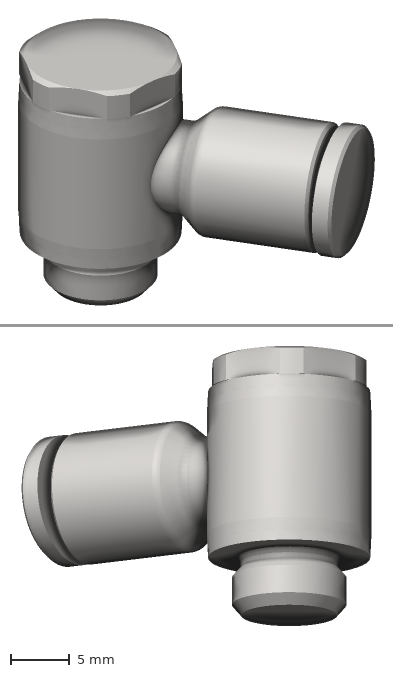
import cadquery as cq
import math

TOTAL_HEIGHT = 22.0
BODY_BOTTOM = 5.05
BODY_TOP = 19.5

BODY_RADIUS = 14.0 / 2
BODY_END_RADIUS = 6.9
END_BAND_HEIGHT = 1.95

HEAD_SIDES = 6
HEAD_ACROSS_FLATS = 13.0
HEAD_CHAMFER_ANGLE = 30

STUB_RADIUS = 4.85
STUB_TIP_RADIUS = 4.05
STUB_TIP_CHAMFER_HEIGHT = 0.9
STUB_SHOULDER_Z = 3.3
GROOVE_RADIUS = 4.15
GROOVE_BOTTOM = 4.1
GROOVE_TOP = 4.56
GROOVE_FLARE_RADIUS = 4.33

OUTLET_Z = 12.3
COLLAR_RADIUS = 4.03
COLLAR_END = 7.6
SOCKET_RADIUS = 5.62
SOCKET_END = 20.1
SOCKET_CHAMFER = 0.27
SHOULDER_ANGLE = 40
SHOULDER_BLEND_RADIUS = 1.0
NECK_RADIUS = 3.8

TOTAL_LENGTH = 29.45
RING_START = 20.8
RING_END = TOTAL_LENGTH - BODY_RADIUS
RING_WIDTH = 13.0
RING_HEIGHT = 11.05
RING_CHAMFER = 0.27


def make_column():
    """Threaded stub and body, turned about the vertical axis."""
    profile = [
        (0, 0),
        (STUB_TIP_RADIUS, 0),
        (STUB_RADIUS, STUB_TIP_CHAMFER_HEIGHT),
        (STUB_RADIUS, STUB_SHOULDER_Z),
        (GROOVE_RADIUS, GROOVE_BOTTOM),
        (GROOVE_RADIUS, GROOVE_TOP),
        (GROOVE_FLARE_RADIUS, BODY_BOTTOM),
        (BODY_END_RADIUS, BODY_BOTTOM),
        (BODY_RADIUS, BODY_BOTTOM + END_BAND_HEIGHT),
        (BODY_RADIUS, BODY_TOP - END_BAND_HEIGHT),
        (BODY_END_RADIUS, BODY_TOP),
        (0, BODY_TOP),
    ]
    return cq.Workplane("XZ").polyline(profile).close().revolve(360, (0, 0), (0, 1))


def make_head():
    """Hexagon with flats facing +Y and -Y, trimmed by a chamfered round blank."""
    head_height = TOTAL_HEIGHT - BODY_TOP
    top_radius = HEAD_ACROSS_FLATS / 2
    across_corners = HEAD_ACROSS_FLATS / math.cos(math.pi / HEAD_SIDES)
    chamfer_height = (BODY_RADIUS - top_radius) * math.tan(math.radians(HEAD_CHAMFER_ANGLE))

    hexagon = (
        cq.Workplane("XY", origin=(0, 0, BODY_TOP))
        .polygon(HEAD_SIDES, across_corners)
        .extrude(head_height)
    )
    blank_profile = [
        (0, BODY_TOP),
        (BODY_RADIUS, BODY_TOP),
        (BODY_RADIUS, TOTAL_HEIGHT - chamfer_height),
        (top_radius, TOTAL_HEIGHT),
        (0, TOTAL_HEIGHT),
    ]
    blank = cq.Workplane("XZ").polyline(blank_profile).close().revolve(360, (0, 0), (0, 1))
    return hexagon.intersect(blank)


def make_outlet():
    """Collar, conical shoulder, socket and neck, turned about the outlet axis."""
    angle = math.radians(SHOULDER_ANGLE)
    blend = SHOULDER_BLEND_RADIUS

    def blend_offset(turn):
        """Travel along and away from the axis after an arc turns by the given angle."""
        return blend * math.sin(turn), blend * (1 - math.cos(turn))

    half_along, half_away = blend_offset(angle / 2)
    full_along, full_away = blend_offset(angle)
    cone_start = COLLAR_END + full_along
    cone_start_radius = COLLAR_RADIUS + full_away
    cone_end_radius = SOCKET_RADIUS - full_away
    cone_end = cone_start + (cone_end_radius - cone_start_radius) / math.tan(angle)
    socket_start = cone_end + full_along

    profile = (
        cq.Workplane("XZ", origin=(0, 0, OUTLET_Z))
        .moveTo(0, 0)
        .lineTo(0, COLLAR_RADIUS)
        .lineTo(COLLAR_END, COLLAR_RADIUS)
        .threePointArc(
            (COLLAR_END + half_along, COLLAR_RADIUS + half_away),
            (cone_start, cone_start_radius),
        )
        .lineTo(cone_end, cone_end_radius)
        .threePointArc(
            (socket_start - half_along, SOCKET_RADIUS - half_away),
            (socket_start, SOCKET_RADIUS),
        )
        .lineTo(SOCKET_END - SOCKET_CHAMFER, SOCKET_RADIUS)
        .lineTo(SOCKET_END, SOCKET_RADIUS - SOCKET_CHAMFER)
        .lineTo(SOCKET_END, NECK_RADIUS)
        .lineTo(RING_START, NECK_RADIUS)
        .lineTo(RING_START, 0)
        .close()
    )
    return profile.revolve(360, (0, 0), (1, 0))


def make_release_ring():
    """Oval ring, wider across Y than it is tall, chamfered on its outer end."""
    ring = (
        cq.Workplane("YZ", origin=(RING_START, 0, OUTLET_Z))
        .ellipse(RING_WIDTH / 2, RING_HEIGHT / 2)
        .extrude(RING_END - RING_START)
    )
    return ring.faces(">X").chamfer(RING_CHAMFER)


result = make_column().union(make_head()).union(make_outlet()).union(make_release_ring())